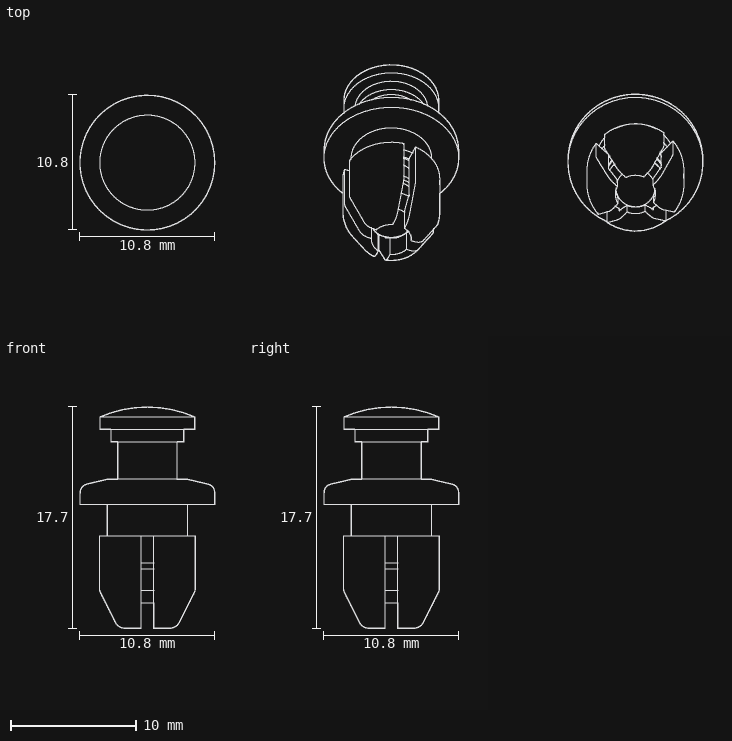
import cadquery as cq
import math

flange_radius = 5.4
flange_bottom = 9.9
flange_rim_top = 10.76
shoulder_radius = 4.78
shoulder_top = 11.55
flange_top_radius = 3.19
grommet_top = 11.93
neck_radius = 3.22
leg_radius = 3.88
leg_top = 7.4
leg_cone_start = 3.03
leg_tip_radius = 2.37
leg_corner_blend = 0.8
leg_tip_blend = 0.85
bore_radius = 2.51
foot_bore_radius = 1.6
slot_width = 1.0

pin_top = 17.7
dome_base = 16.9
head_radius = 3.8
head_bottom = 15.91
collar_radius = 2.92
collar_bottom = 14.9
shaft_radius = 2.39
waist_radius = 1.77
band_top = 5.22
band_bottom = 4.75
plug_radius = 2.05
plug_widest = 3.05
tip_radius = 1.55
tip_bottom = 2.02


def make_grommet_blank():
    """Turned grommet: the outside profile revolved about Z, before boring and slotting."""
    shoulder_slope = (flange_top_radius - shoulder_radius, grommet_top - shoulder_top)
    legs = (
        cq.Workplane("XZ")
        .polyline([
            (0, 0),
            (leg_tip_radius, 0),
            (leg_radius, leg_cone_start),
            (leg_radius, leg_top),
            (0, leg_top),
        ])
        .close()
        .revolve(360, (0, 0, 0), (0, 1, 0))
    )
    legs = legs.faces("<Z").edges().fillet(leg_tip_blend)
    corner_margin = 0.18
    corner_zone = cq.selectors.BoxSelector(
        (-leg_radius, -leg_radius, leg_cone_start - corner_margin),
        (leg_radius, leg_radius, leg_cone_start + corner_margin),
    )
    legs = legs.edges("%CIRCLE").edges(corner_zone).fillet(leg_corner_blend)
    flange = (
        cq.Workplane("XZ")
        .moveTo(0, leg_top)
        .lineTo(neck_radius, leg_top)
        .lineTo(neck_radius, flange_bottom)
        .lineTo(flange_radius, flange_bottom)
        .lineTo(flange_radius, flange_rim_top)
        .spline([(shoulder_radius, shoulder_top)],
                tangents=[(0, 1), shoulder_slope], includeCurrent=True)
        .lineTo(flange_top_radius, grommet_top)
        .lineTo(0, grommet_top)
        .close()
        .revolve(360, (0, 0, 0), (0, 1, 0))
    )
    return legs.union(flange)


def make_bore():
    """Space for the pin: a straight bore that narrows to follow the tapered leg tips."""
    return (
        cq.Workplane("XZ")
        .polyline([
            (0, 0),
            (foot_bore_radius, 0),
            (foot_bore_radius, tip_bottom),
            (bore_radius, plug_widest),
            (bore_radius, grommet_top),
            (0, grommet_top),
        ])
        .close()
        .revolve(360, (0, 0, 0), (0, 1, 0))
    )


def make_grommet():
    grommet = make_grommet_blank().cut(make_bore())
    for angle in (0, 90):
        slot = (
            cq.Workplane("XY")
            .box(2 * flange_radius, slot_width, leg_top, centered=(True, True, False))
            .rotate((0, 0, 0), (0, 0, 1), angle)
        )
        grommet = grommet.cut(slot)
    return grommet


def make_pin():
    """Turned pin with a spherical dome on the head and a double-tapered plug at the bottom."""
    dome_height = pin_top - dome_base
    dome_radius = (head_radius**2 + dome_height**2) / (2 * dome_height)
    mid_radius = head_radius / 2
    mid_height = pin_top - dome_radius + math.sqrt(dome_radius**2 - mid_radius**2)
    return (
        cq.Workplane("XZ")
        .moveTo(0, tip_bottom)
        .lineTo(tip_radius, tip_bottom)
        .lineTo(shaft_radius, plug_widest)
        .lineTo(plug_radius, band_bottom)
        .lineTo(shaft_radius, band_bottom)
        .lineTo(shaft_radius, band_top)
        .lineTo(waist_radius, band_top)
        .lineTo(waist_radius, leg_top)
        .lineTo(shaft_radius, leg_top)
        .lineTo(shaft_radius, collar_bottom)
        .lineTo(collar_radius, collar_bottom)
        .lineTo(collar_radius, head_bottom)
        .lineTo(head_radius, head_bottom)
        .lineTo(head_radius, dome_base)
        .threePointArc((mid_radius, mid_height), (0, pin_top))
        .close()
        .revolve(360, (0, 0, 0), (0, 1, 0))
    )


grommet = make_grommet()
pin = make_pin()

result = cq.Compound.makeCompound([grommet.val(), pin.val()])